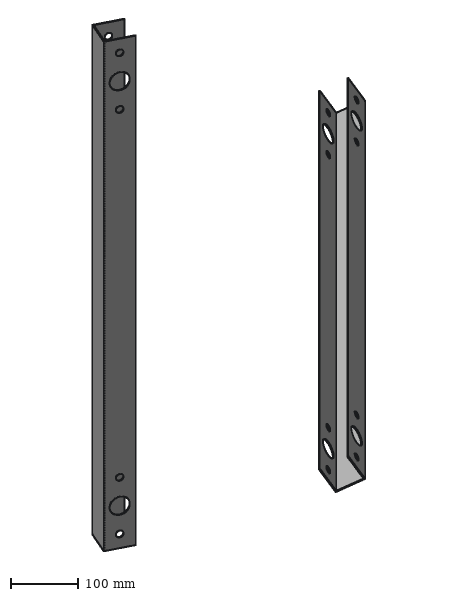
import cadquery as cq

length = 900.0
width = 50.8
depth = 50.8
thickness = 2.0

pattern_center_from_end = 75.0
bolt_offset = 50.0
bolt_diameter = 12.0
access_diameter = 32.0


def make_channel():
    """U-shaped bar standing along Z, centred on X and Y, with its foot at Z = 0."""
    bar = cq.Workplane("XY").box(width, depth, length, centered=(True, True, False))
    cavity = (
        cq.Workplane("XY")
        .box(width - 2 * thickness, depth, length, centered=(True, True, False))
        .translate((0, thickness, 0))
    )
    return bar.cut(cavity)


def cross_hole(height, diameter):
    """Cylinder along X that crosses both flanges at their mid depth."""
    return cq.Workplane("YZ").center(0, height).circle(diameter / 2).extrude(width / 2, both=True)


result = make_channel()
for pattern_height in (pattern_center_from_end, length - pattern_center_from_end):
    result = result.cut(cross_hole(pattern_height, access_diameter))
    for side in (-1, 1):
        result = result.cut(cross_hole(pattern_height + side * bolt_offset, bolt_diameter))